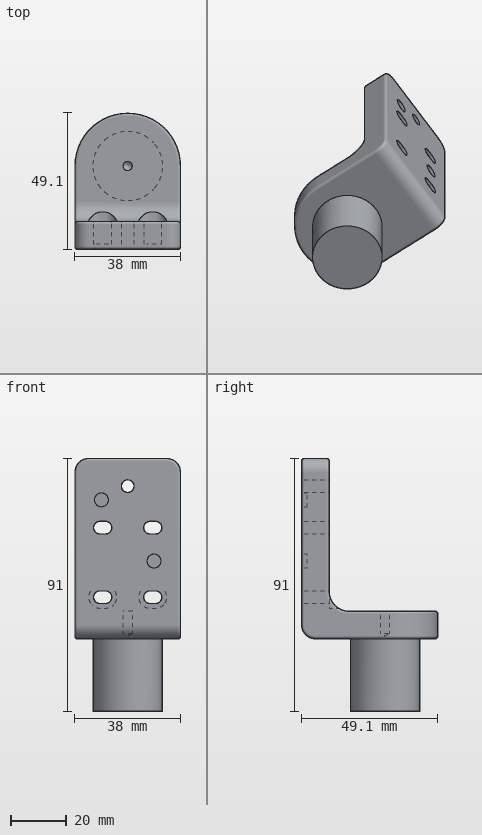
import cadquery as cq
import math

width = 38.0
depth = 49.05
total_height = 91.0
thickness = 10.0
post_length = 26.0
post_diameter = 25.0

outer_bend_radius = 5.0
inner_bend_radius = 7.0
corner_radius = 5.0
edge_radius = 1.0

slot_spacing_x = 18.0
slot_heights = (15.0, 40.0)
slot_width = 4.5
slot_straight = 2.0
clearance_width = 8.0
top_hole_diameter = 4.5
top_hole_height = 55.0
dowel_diameter = 5.0
dowel_depth = 2.0
dowel_centers = ((-9.5, 50.05), (9.5, 28.0))

base_hole_diameter = 3.3
base_hole_depth = 8.0
drill_tip_angle = 118.0

upright_height = total_height - post_length
arch_radius = width / 2
front_y = arch_radius - depth
wall_back_y = front_y + thickness


def make_bracket():
    """L-shaped bracket with an arched base, a round-cornered upright and softened edges."""
    profile = (
        cq.Workplane("YZ")
        .moveTo(front_y, 0)
        .lineTo(arch_radius, 0)
        .lineTo(arch_radius, thickness)
        .lineTo(wall_back_y, thickness)
        .lineTo(wall_back_y, upright_height)
        .lineTo(front_y, upright_height)
        .close()
        .extrude(width / 2, both=True)
    )
    profile = profile.edges(cq.NearestToPointSelector((0, front_y, 0))).fillet(outer_bend_radius)
    profile = profile.edges(
        cq.NearestToPointSelector((0, wall_back_y, thickness))
    ).fillet(inner_bend_radius)

    base_outline = (
        cq.Workplane("XY")
        .moveTo(-arch_radius, front_y)
        .lineTo(arch_radius, front_y)
        .lineTo(arch_radius, 0)
        .threePointArc((0, arch_radius), (-arch_radius, 0))
        .close()
        .extrude(upright_height)
    )
    bracket = profile.intersect(base_outline)
    bracket = bracket.faces(">Z").edges("|Y").fillet(corner_radius)
    return bracket.faces(">Z").edges("|X").fillet(edge_radius)


def wall_sketch(y):
    """XZ workplane at the given Y; positive extrusion runs toward -Y."""
    return cq.Workplane("XZ", origin=(0, y, 0))


def cut_slots(body):
    """Through slots, with the inner bend cleared for screw heads flush with the wall."""
    offset = slot_spacing_x / 2
    for height in slot_heights:
        centers = [(-offset, height), (offset, height)]
        slots = (
            wall_sketch(wall_back_y)
            .pushPoints(centers)
            .slot2D(slot_straight + slot_width, slot_width)
            .extrude(thickness)
        )
        clearance = (
            wall_sketch(wall_back_y)
            .pushPoints(centers)
            .slot2D(slot_straight + clearance_width, clearance_width)
            .extrude(-inner_bend_radius)
        )
        body = body.cut(slots).cut(clearance)
    return body


def cut_round_holes(body):
    """Through hole near the top and two blind dowel holes in the front face."""
    top_hole = (
        wall_sketch(wall_back_y)
        .center(0, top_hole_height)
        .circle(top_hole_diameter / 2)
        .extrude(thickness)
    )
    dowels = (
        wall_sketch(front_y)
        .pushPoints(dowel_centers)
        .circle(dowel_diameter / 2)
        .extrude(-dowel_depth)
    )
    return body.cut(top_hole).cut(dowels)


def cut_base_hole(body):
    """Drilled hole with a conical bottom."""
    tip_length = base_hole_diameter / 2 / math.tan(math.radians(drill_tip_angle / 2))
    floor = thickness - base_hole_depth
    drill = (
        cq.Workplane("XZ")
        .moveTo(0, floor - tip_length)
        .lineTo(base_hole_diameter / 2, floor)
        .lineTo(base_hole_diameter / 2, thickness)
        .lineTo(0, thickness)
        .close()
        .revolve(360, (0, 0), (0, 1))
    )
    return body.cut(drill)


post = cq.Workplane("XY").circle(post_diameter / 2).extrude(-post_length)
result = make_bracket().union(post)
result = cut_slots(result)
result = cut_round_holes(result)
result = cut_base_hole(result)